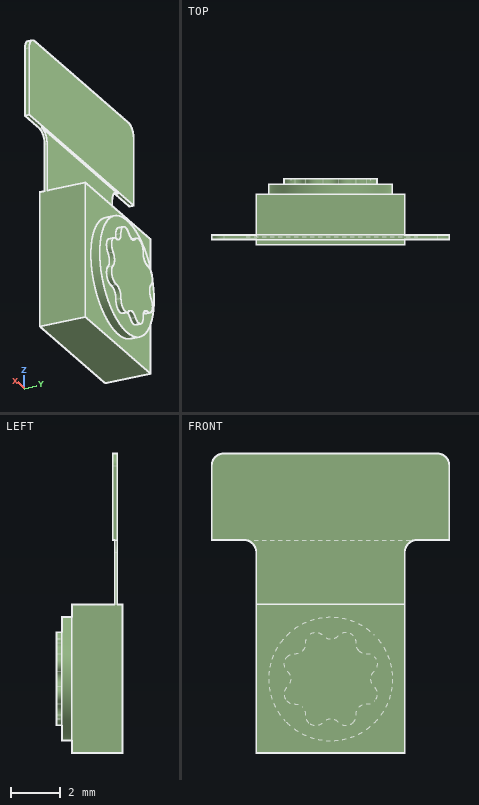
import cadquery as cq
import math

body_side = 6.0
body_depth = 2.05

total_height = 12.1
tail_front = 0.21
stem_thickness = 0.12
head_thickness = 0.2
head_width = 9.6
head_height = 3.5
corner_radius = 0.5
head_bottom = total_height - head_height

collar_radius = 2.5
collar_height = 0.4
button_height = 0.23
lobe_count = 8
lobe_tip_radius = 2.0
lobe_radius = 0.41

axis_height = body_side / 2
collar_back = body_depth + collar_height


def back_plane(y):
    """Sketch plane facing +Y at depth y, centred on the button axis (local x runs toward -X)."""
    return cq.Workplane(cq.Plane(origin=(0, y, axis_height), xDir=(-1, 0, 0), normal=(0, 1, 0)))


def block(width, y_start, depth, z_start, height):
    """Box centred on X, growing toward +Y and +Z from its front bottom edge."""
    box = cq.Workplane("XY").box(width, depth, height, centered=(True, False, False))
    return box.translate((0, y_start, z_start))


def make_head():
    """Wide end of the tail with its two upper corners rounded."""
    head = block(head_width, tail_front, head_thickness, head_bottom, head_height)
    return head.edges("|Y and >Z").fillet(corner_radius)


def make_stem():
    """Thin strip joining housing and head, flush with the head's front face."""
    return block(body_side, tail_front, stem_thickness, body_side, head_bottom - body_side)


def make_inner_corner(side):
    """Concave fillet between stem and head underside; side is +1 or -1 along X."""
    corner_x = side * body_side / 2
    bend = corner_radius * (1 - math.sqrt(0.5))
    return (
        cq.Workplane("XZ", origin=(0, tail_front, 0))
        .moveTo(corner_x, head_bottom)
        .lineTo(corner_x + side * corner_radius, head_bottom)
        .threePointArc(
            (corner_x + side * bend, head_bottom - bend),
            (corner_x, head_bottom - corner_radius),
        )
        .close()
        .extrude(-stem_thickness)
    )


def polar(radius, angle):
    """Point at the given radius and angle about the button axis."""
    return (radius * math.cos(angle), radius * math.sin(angle))


def make_button():
    """Button outlined by alternating lobes and notches: tangent arcs of equal radius."""
    half_pitch = math.pi / lobe_count
    lobe_centre = lobe_tip_radius - lobe_radius
    across = lobe_centre * math.sin(half_pitch)
    along = lobe_centre * math.cos(half_pitch)
    notch_centre = along + math.sqrt((2 * lobe_radius) ** 2 - across**2)
    notch_bottom = notch_centre - lobe_radius
    joint_along = (notch_centre + along) / 2
    joint_across = across / 2
    joint_radius = math.hypot(joint_along, joint_across)
    joint_angle = math.atan2(joint_across, joint_along)

    outline = back_plane(collar_back).moveTo(*polar(joint_radius, -joint_angle))
    for index in range(lobe_count):
        notch_angle = 2 * half_pitch * index
        lobe_angle = notch_angle + half_pitch
        next_notch_angle = notch_angle + 2 * half_pitch
        outline = outline.threePointArc(
            polar(notch_bottom, notch_angle),
            polar(joint_radius, notch_angle + joint_angle),
        )
        outline = outline.threePointArc(
            polar(lobe_tip_radius, lobe_angle),
            polar(joint_radius, next_notch_angle - joint_angle),
        )
    return outline.close().extrude(button_height)


body = block(body_side, 0, body_depth, 0, body_side)
collar = back_plane(body_depth).circle(collar_radius).extrude(collar_height)

result = body.union(collar).union(make_button()).union(make_stem()).union(make_head())
for side in (-1, 1):
    result = result.union(make_inner_corner(side))